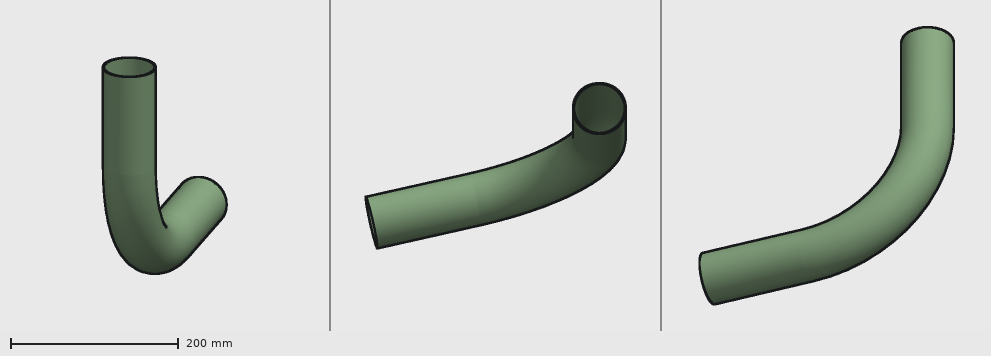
import cadquery as cq
import math

overall_size = 311.0
outer_diameter = 63.5
inner_diameter = 60.5
leg_length = 2 * outer_diameter
bend_radius = overall_size - outer_diameter / 2 - leg_length

leg_end = bend_radius + leg_length
bend_middle = bend_radius * (1 - math.cos(math.radians(45)))

centreline = (
    cq.Workplane("YZ")
    .moveTo(0, leg_end)
    .lineTo(0, bend_radius)
    .threePointArc((bend_middle, bend_middle), (bend_radius, 0))
    .lineTo(leg_end, 0)
)

result = (
    cq.Workplane("XY", origin=(0, 0, leg_end))
    .circle(outer_diameter / 2)
    .circle(inner_diameter / 2)
    .sweep(centreline)
)